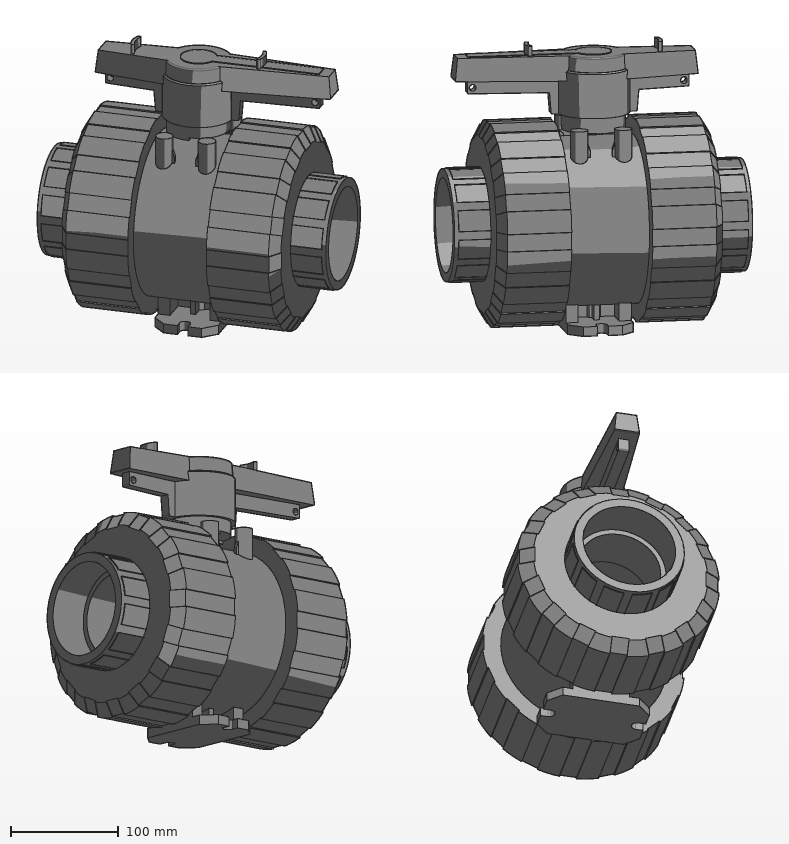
import cadquery as cq
import math


total_length = 281.0
bore_radius = 39.0
body_radius = 79.0
body_half_length = 59.0

pipe_radius = 52.5
socket_radius = 44.0
socket_depth = 37.0
flange_length = 36.5
pad_count = 12
pad_height = 0.8
pad_span = 21.4
pad_end_gap = 4.0

nut_inner_x = 38.2
nut_outer_x = 106.5
nut_radius = 96.5
nut_chamfer_length = 8.0
nut_face_radius = 83.2
notch_count = 16
notch_width = 16.3
notch_depth = 1.7

boss_radius = 29.2
boss_top = 87.0
stop_top = 90.0
stop_start_angle = -90.0
stop_sweep = 90.0

lug_radius = 8.1
lug_x = 20.8
lug_y = 39.5
lug_top = 93.0
tab_top = 79.8
tab_shoulder = 73.5
tab_width = 3.7
tab_reach = 2.2
side_tab_offset = 3.0
side_tab_setback = 1.5

foot_bottom = -100.0
foot_thickness = 9.0
foot_half_x = 31.0
foot_half_y = 49.0
foot_corner = 12.5
foot_slot_width = 10.5
foot_slot_depth = 12.5
leg_width = 11.5
leg_half_y = 27.0
foot_boss_radius = 7.0
rib_thickness = 5.0
rib_half_y = 17.7

hub_radius = 34.0
hub_bottom = 102.3
hub_top = 145.3
hub_chamfer = 1.5
cap_bottom_radius = 32.0
cap_top_radius = 31.0
cap_fillet = 1.5
skirt_radius = 30.0
arm_top = 159.0
arm_end_bottom = 137.5
arm_root_bottom = 135.7
arm_root_x = 28.7
arm_middle_half_width = 20.8
arm_short_x = -96.7
arm_short_half_width = 14.0
arm_long_x = 132.4
arm_long_half_width = 12.0
arm_draft = 6.2
arm_end_lean = 1.0
arm_top_fillet = 1.7
lever_corner_fillet = 1.5
web_thickness = 10.0
web_short_x = -89.4
web_long_x = 119.5
web_end_bottom = 124.2
web_root_bottom = 122.5
web_root_x = 42.2
web_foot_x = 40.5
web_hole_radius = 3.0
web_hole_z = 129.8
web_hole_inset = 4.8
label_height = 0.8
label_radius = 17.1
label_half_width = 7.5
clip_top = 168.3
clip_x = 61.3
clip_thickness = 3.7
clip_half_width = 11.0
clip_bow = 1.7

half_length = total_length / 2
flange_end_x = body_half_length + flange_length
pad_radius = pipe_radius + pad_height
body_core_z = (bore_radius + body_radius) / 2
foot_top = foot_bottom + foot_thickness


def x_cylinder(radius, start, end):
    """Cylinder around the X axis between two X positions."""
    return cq.Workplane("YZ", origin=(start, 0, 0)).circle(radius).extrude(end - start)


def z_cylinder(radius, bottom, top, x=0, y=0):
    """Upright cylinder between two heights."""
    return cq.Workplane("XY", origin=(x, y, bottom)).circle(radius).extrude(top - bottom)


def box(x_size, y_size, bottom, top, x=0, y=0):
    """Block centred on (x, y) between two heights."""
    return cq.Workplane("XY", origin=(x, y, bottom)).rect(x_size, y_size).extrude(top - bottom)


def stop_sector(radius, bottom, top):
    """Quarter-turn sector of a disc around the stem axis."""
    start = math.radians(stop_start_angle)
    middle = math.radians(stop_start_angle + stop_sweep / 2)
    end = math.radians(stop_start_angle + stop_sweep)
    return (
        cq.Workplane("XY", origin=(0, 0, bottom))
        .lineTo(radius * math.cos(start), radius * math.sin(start))
        .threePointArc(
            (radius * math.cos(middle), radius * math.sin(middle)),
            (radius * math.cos(end), radius * math.sin(end)),
        )
        .close()
        .extrude(top - bottom)
    )


def make_tab():
    """Gusset on the +X side of an upright lug axis, sloping away from the lug at its top."""
    return (
        cq.Workplane("XZ")
        .moveTo(0, body_core_z)
        .lineTo(lug_radius + tab_reach, body_core_z)
        .lineTo(lug_radius + tab_reach, tab_shoulder)
        .lineTo(lug_radius, tab_top)
        .lineTo(0, tab_top)
        .close()
        .extrude(tab_width / 2, both=True)
    )


def make_lug(x_sign, y_sign):
    """Round lug with one gusset tab towards the stem in X and one in Y."""
    inner_tab = make_tab().rotate((0, 0, 0), (0, 0, 1), 90 + 90 * x_sign)
    side_tab = make_tab().rotate((0, 0, 0), (0, 0, 1), -90 * y_sign)
    side_tab = side_tab.translate((x_sign * side_tab_offset, y_sign * side_tab_setback, 0))
    lug = z_cylinder(lug_radius, body_core_z, lug_top).union(inner_tab).union(side_tab)
    return lug.translate((x_sign * lug_x, y_sign * lug_y, 0))


def make_foot():
    """Slotted plate carried by two legs, a central boss and crossed ribs."""
    foot = box(2 * foot_half_x, 2 * foot_half_y, foot_bottom, foot_top)
    foot = foot.edges("|Z").chamfer(foot_corner)
    slot_radius = foot_slot_width / 2
    for y_sign in (-1, 1):
        slot_center_y = y_sign * (foot_half_y - foot_slot_depth + slot_radius)
        slot_length = 2 * (foot_slot_depth - slot_radius)
        foot = foot.cut(z_cylinder(slot_radius, foot_bottom, foot_top, 0, slot_center_y))
        foot = foot.cut(
            box(foot_slot_width, slot_length, foot_bottom, foot_top, 0, y_sign * foot_half_y)
        )
    for x_sign in (-1, 1):
        leg_x = x_sign * (foot_half_x - leg_width / 2)
        foot = foot.union(box(leg_width, 2 * leg_half_y, foot_top, -body_core_z, leg_x))
    foot = foot.union(z_cylinder(foot_boss_radius, foot_top, -body_core_z))
    foot = foot.union(box(rib_thickness, 2 * rib_half_y, foot_top, -body_core_z))
    return foot.union(box(2 * foot_half_x, rib_thickness, foot_top, -body_core_z))


def make_body():
    """Valve housing with stem boss, turn stop, lugs and mounting foot."""
    attachments = z_cylinder(boss_radius, body_core_z, boss_top)
    attachments = attachments.union(stop_sector(boss_radius, body_core_z, stop_top))
    for x_sign in (-1, 1):
        for y_sign in (-1, 1):
            attachments = attachments.union(make_lug(x_sign, y_sign))
    attachments = attachments.union(make_foot())
    barrel = x_cylinder(body_radius, -body_half_length, body_half_length)
    body = barrel.union(attachments.clean())
    return body.cut(x_cylinder(bore_radius, -body_half_length, body_half_length))


def make_end_connector():
    """Flanged socket on the +X side, with raised pads around the pipe."""
    connector = x_cylinder(pipe_radius, body_half_length, half_length)
    pad_end_x = half_length - pad_end_gap
    pad_ring = x_cylinder(pad_radius, flange_end_x, pad_end_x)
    pad_pitch = 360 / pad_count
    gap_width = 2 * pad_radius * math.sin(math.radians((pad_pitch - pad_span) / 2))
    gap = cq.Workplane("XY").box(total_length, gap_width, pad_radius, centered=(True, True, False))
    for i in range(pad_count):
        pad_ring = pad_ring.cut(gap.rotate((0, 0, 0), (1, 0, 0), i * pad_pitch))
    connector = connector.union(pad_ring)
    connector = connector.union(x_cylinder(body_radius, body_half_length, flange_end_x))
    connector = connector.cut(x_cylinder(bore_radius, body_half_length, half_length))
    return connector.cut(x_cylinder(socket_radius, half_length - socket_depth, half_length))


def make_nut():
    """Union nut on the +X side, with flat notches around its rim."""
    chamfer_x = nut_outer_x - nut_chamfer_length
    nut = (
        cq.Workplane("XZ")
        .moveTo(nut_inner_x, body_radius)
        .lineTo(nut_inner_x, nut_radius)
        .lineTo(chamfer_x, nut_radius)
        .lineTo(nut_outer_x, nut_face_radius)
        .lineTo(nut_outer_x, pad_radius)
        .lineTo(flange_end_x, pad_radius)
        .lineTo(flange_end_x, body_radius)
        .close()
        .revolve(360, (0, 0, 0), (1, 0, 0))
    )
    clear = nut_radius + notch_depth
    notch = (
        cq.Workplane("XZ")
        .moveTo(nut_inner_x, nut_radius - notch_depth)
        .lineTo(chamfer_x, nut_radius - notch_depth)
        .lineTo(nut_outer_x, nut_face_radius - notch_depth)
        .lineTo(nut_outer_x, clear)
        .lineTo(nut_inner_x, clear)
        .close()
        .extrude(notch_width / 2, both=True)
    )
    for i in range(notch_count):
        nut = nut.cut(notch.rotate((0, 0, 0), (1, 0, 0), i * 360 / notch_count))
    return nut


def make_arm():
    """Tapered lever bar: a drafted plan trimmed to the side outline."""
    plan = (
        cq.Workplane("XY", origin=(0, 0, arm_root_bottom))
        .polyline([
            (arm_short_x, -arm_short_half_width),
            (0, -arm_middle_half_width),
            (arm_long_x, -arm_long_half_width),
            (arm_long_x, arm_long_half_width),
            (0, arm_middle_half_width),
            (arm_short_x, arm_short_half_width),
        ])
        .close()
        .extrude(arm_top - arm_root_bottom, taper=arm_draft)
    )
    side = (
        cq.Workplane("XZ")
        .polyline([
            (arm_short_x, arm_end_bottom),
            (-arm_root_x, arm_root_bottom),
            (arm_root_x, arm_root_bottom),
            (arm_long_x, arm_end_bottom),
            (arm_long_x - arm_end_lean, arm_top),
            (arm_short_x + arm_end_lean, arm_top),
        ])
        .close()
        .extrude(hub_radius, both=True)
        .edges("|Y and >Z")
        .fillet(arm_top_fillet)
        .edges("|Y and (<X or >X)")
        .fillet(lever_corner_fillet)
    )
    return plan.intersect(side)


def make_web():
    """Upright web under the arm, deep at the hub, with a hole near each end."""
    web = (
        cq.Workplane("XZ")
        .polyline([
            (web_short_x, hub_top),
            (web_short_x, web_end_bottom),
            (-web_root_x, web_root_bottom),
            (-web_foot_x, hub_bottom),
            (web_foot_x, hub_bottom),
            (web_root_x, web_root_bottom),
            (web_long_x, web_end_bottom),
            (web_long_x, hub_top),
        ])
        .close()
        .extrude(web_thickness / 2, both=True)
        .edges("|Y and <Z")
        .fillet(lever_corner_fillet)
        .edges("|Y and (<X or >X)")
        .fillet(lever_corner_fillet)
    )
    hole_places = [
        (web_short_x + web_hole_inset, web_hole_z),
        (web_long_x - web_hole_inset, web_hole_z),
    ]
    holes = (
        cq.Workplane("XZ").pushPoints(hole_places).circle(web_hole_radius).extrude(web_thickness, both=True)
    )
    return web.cut(holes)


def make_clip(x_sign):
    """Upright plate on the arm, bowed away from the stem."""
    inner_x = clip_x - clip_thickness / 2
    outer_x = clip_x + clip_thickness / 2
    cap_radius = clip_thickness / 2
    straight = clip_half_width - cap_radius
    return (
        cq.Workplane("XY", origin=(0, 0, hub_top))
        .moveTo(x_sign * inner_x, -straight)
        .threePointArc((x_sign * (inner_x + clip_bow), 0), (x_sign * inner_x, straight))
        .threePointArc((x_sign * clip_x, clip_half_width), (x_sign * outer_x, straight))
        .threePointArc((x_sign * (outer_x + clip_bow), 0), (x_sign * outer_x, -straight))
        .threePointArc((x_sign * clip_x, -clip_half_width), (x_sign * inner_x, -straight))
        .close()
        .extrude(clip_top - hub_top)
    )


def make_label():
    """Raised disc and strip along the long side of the arm."""
    label_top = arm_top + label_height
    strip = box(web_long_x, 2 * label_half_width, hub_top, label_top, web_long_x / 2)
    return z_cylinder(label_radius, hub_top, label_top).union(strip)


def make_lever():
    """Lever with hub, cap, stem skirt, arm, web, clips and label."""
    cap = (
        cq.Workplane("XY", origin=(0, 0, hub_top))
        .circle(cap_bottom_radius)
        .workplane(offset=arm_top - hub_top)
        .circle(cap_top_radius)
        .loft()
        .faces(">Z")
        .edges()
        .fillet(cap_fillet)
    )
    skirt = z_cylinder(skirt_radius, boss_top, hub_bottom)
    skirt = skirt.cut(stop_sector(hub_radius, boss_top, stop_top))
    hub = z_cylinder(hub_radius, hub_bottom, hub_top).faces(">Z").edges().chamfer(hub_chamfer)
    lever = hub.union(cap).union(skirt)
    lever = lever.union(make_arm()).union(make_web()).union(make_label())
    for x_sign in (-1, 1):
        lever = lever.union(make_clip(x_sign))
    return lever


body = make_body()
lever = make_lever()
end_connectors = []
nuts = []
for turn in (0, 180):
    end_connectors.append(make_end_connector().rotate((0, 0, 0), (0, 0, 1), turn))
    nuts.append(make_nut().rotate((0, 0, 0), (0, 0, 1), turn))

result = cq.Compound.makeCompound([
    body.val(),
    lever.val(),
    *[connector.val() for connector in end_connectors],
    *[nut.val() for nut in nuts],
])